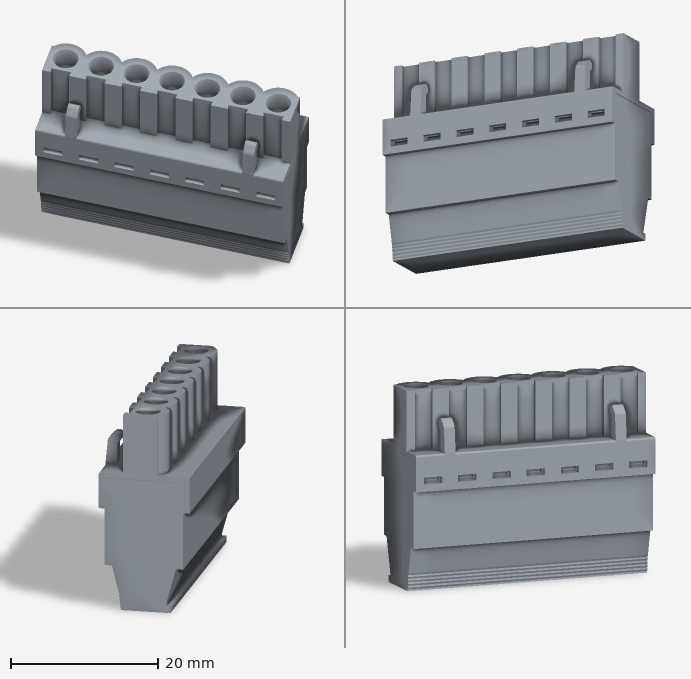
import cadquery as cq
import math

length = 35.0
poles = 7
pitch = length / poles
pole_x = [(i + 0.5) * pitch - length / 2 for i in range(poles)]

depth = 12.6
collar_top = 19.3
skirt_bottom = 14.2
root_z = 18.9
front_round = 0.28
back_round = 0.1

body_front = 0.85
body_back = 11.72
body_bottom = 6.23
taper_top_front = 1.85
taper_top_back = 10.75
taper_bottom_back = 9.38
ribs_top = 2.5
ribs_top_front = 2.75
foot_front = 3.0
foot_back = 9.98
foot_height = 0.95
taper_bottom = 1.3

grip_count = 5
grip_depth = 0.1
grip_pitch = ribs_top / grip_count

end_groove_z = 18.45
end_groove_height = 0.1
end_groove_depth = 0.1

tower_top = 27.6
tower_front = 3.4
tower_center_y = 6.3
tower_radius = 2.9
tower_shoulder = 8.2
end_wall = 0.35
keyway_mouth = 2.6
keyway_width = 2.85
keyway_depth = 0.7
funnel_diameter = 3.45
funnel_floor_diameter = 1.58
funnel_depth = 2.0

slot_width = 2.7
slot_bottom = 15.22
slot_top = 16.17
slot_depth = 0.63
inner_margin_x = 0.28
inner_margin_z = 0.15
inner_depth = 0.18
inner_lip = 0.2

latch_x = [pole_x[0] + pitch / 2, pole_x[-1] - pitch / 2]
latch_width = 1.58
latch_back = 1.65
latch_shoulder_y = 0.35
latch_shoulder_radius = 0.7
latch_root_fillet = 0.18
tip_y = 1.6
tip_z = 23.2
tip_radius = 0.65


def extrude_along_x(outline, width, center_x=0.0):
    """Extrude a closed YZ outline symmetrically about the given X."""
    return outline.extrude(width / 2, both=True).translate((center_x, 0, 0))


def box(x_size, y_range, z_range, center_x=0.0):
    """Box centred on center_x, spanning the given Y and Z ranges."""
    (y0, y1), (z0, z1) = y_range, z_range
    return (
        cq.Workplane("XY")
        .box(x_size, y1 - y0, z1 - z0, centered=(True, False, False))
        .translate((center_x, y0, z0))
    )


def make_collar():
    collar = box(length, (0, depth), (skirt_bottom, collar_top))
    collar = collar.edges("|X and >Z and <Y").fillet(front_round)
    return collar.edges("|X and >Z and >Y").fillet(back_round)


def make_body():
    """Body with a tapered lower end, a rear foot lip and a toothed lower front."""
    outline = cq.Workplane("YZ").moveTo(body_back, root_z).lineTo(body_back, body_bottom)
    outline = outline.lineTo(taper_top_back, body_bottom).lineTo(taper_bottom_back, taper_bottom)
    outline = outline.lineTo(taper_bottom_back, foot_height).lineTo(foot_back, foot_height)
    outline = outline.lineTo(foot_back, 0).lineTo(foot_front, 0)
    slope = (ribs_top_front - foot_front) / ribs_top
    for i in range(grip_count):
        valley_z = (i + 0.5) * grip_pitch
        crest_z = (i + 1) * grip_pitch
        outline = outline.lineTo(foot_front + slope * valley_z + grip_depth, valley_z)
        outline = outline.lineTo(foot_front + slope * crest_z, crest_z)
    outline = outline.lineTo(taper_top_front, body_bottom).lineTo(body_front, body_bottom)
    outline = outline.lineTo(body_front, root_z).close()
    return extrude_along_x(outline, length)


def cut_end_grooves(part):
    for side in (-1, 1):
        part = part.cut(
            box(
                2 * end_groove_depth,
                (body_front, body_back),
                (end_groove_z, end_groove_z + end_groove_height),
                side * length / 2,
            )
        )
    return part


def make_towers():
    """Scalloped block: one round-backed tower per pole, squared off at both ends."""
    height = tower_top - collar_top
    base = cq.Workplane("XY", origin=(0, 0, collar_top))
    towers = box(length, (tower_front, tower_center_y), (collar_top, tower_top))
    back_half = box(pitch, (tower_center_y, depth), (collar_top, tower_top))
    round_back = base.center(0, tower_center_y).circle(tower_radius).extrude(height).intersect(back_half)
    for x in pole_x:
        towers = towers.union(round_back.translate((x, 0, 0)))
    for side in (-1, 1):
        wall_x = side * (length - end_wall) / 2
        towers = towers.union(
            box(end_wall, (tower_center_y, tower_shoulder), (collar_top, tower_top), wall_x)
        )
    keyway = (
        base.moveTo(-keyway_mouth / 2, tower_front)
        .lineTo(keyway_mouth / 2, tower_front)
        .lineTo(keyway_width / 2, tower_front + keyway_depth)
        .lineTo(-keyway_width / 2, tower_front + keyway_depth)
        .close()
        .extrude(height)
    )
    funnel = cq.Workplane(
        cq.Solid.makeCone(
            funnel_floor_diameter / 2,
            funnel_diameter / 2,
            funnel_depth,
            cq.Vector(0, tower_center_y, tower_top - funnel_depth),
        )
    )
    for x in pole_x:
        towers = towers.cut(keyway.translate((x, 0, 0))).cut(funnel.translate((x, 0, 0)))
    return towers


def make_slot(center_x):
    """Stepped slot: a plain mouth, then a narrower pocket with a rising 45-degree floor."""
    mouth = box(slot_width, (0, slot_depth), (slot_bottom, slot_top), center_x)
    floor_z = slot_bottom + inner_margin_z
    ramp_z = floor_z + inner_lip
    roof_z = slot_top - inner_margin_z
    ramp_y = slot_depth + inner_depth
    pocket = (
        cq.Workplane("YZ")
        .moveTo(slot_depth, floor_z)
        .lineTo(ramp_y, floor_z)
        .lineTo(ramp_y, ramp_z)
        .lineTo(ramp_y + roof_z - ramp_z, roof_z)
        .lineTo(slot_depth, roof_z)
        .close()
    )
    return mouth.union(extrude_along_x(pocket, slot_width - 2 * inner_margin_x, center_x))


def make_latch(center_x):
    """Hook with a round tip joined to the stem by two parallel 45-degree flanks."""
    diagonal = tip_radius * math.sqrt(0.5)
    front_tangent = (tip_y - diagonal, tip_z + diagonal)
    back_tangent = (tip_y + diagonal, tip_z - diagonal)
    crown = (tip_y + diagonal, tip_z + diagonal)
    shoulder_z = front_tangent[1] - (front_tangent[0] - latch_shoulder_y)
    throat_z = back_tangent[1] - (back_tangent[0] - latch_back)
    outline = (
        cq.Workplane("YZ")
        .moveTo(0, root_z)
        .lineTo(0, collar_top)
        .lineTo(latch_shoulder_y, shoulder_z)
        .lineTo(*front_tangent)
        .threePointArc(crown, back_tangent)
        .lineTo(latch_back, throat_z)
        .lineTo(latch_back, collar_top + latch_root_fillet)
        .radiusArc((latch_back + latch_root_fillet, collar_top), -latch_root_fillet)
        .lineTo(latch_back + latch_root_fillet, root_z)
        .close()
    )
    latch = extrude_along_x(outline, latch_width)
    shoulder = cq.selectors.NearestToPointSelector((0, latch_shoulder_y, shoulder_z))
    latch = latch.edges("|X").edges(shoulder).fillet(latch_shoulder_radius)
    return latch.translate((center_x, 0, 0))


result = cut_end_grooves(make_body().union(make_collar())).union(make_towers())
for x in pole_x:
    result = result.cut(make_slot(x))
for x in latch_x:
    result = result.union(make_latch(x))